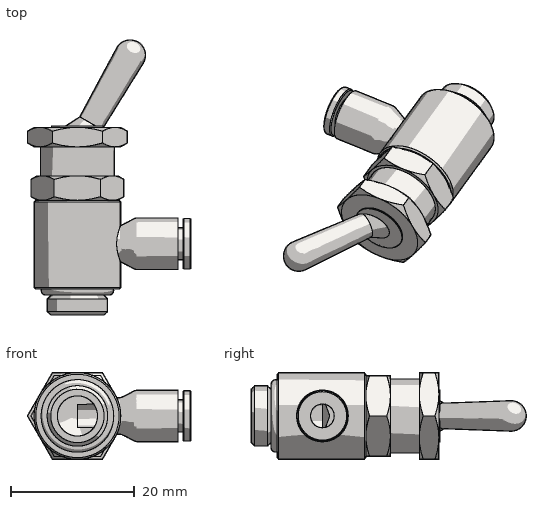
import cadquery as cq
import math


OVERALL_LENGTH = 44.4
OVERALL_WIDTH = 26.4
NUT_FLATS = 14.0

THREAD_RADIUS = 4.9
THREAD_END = 3.2
THREAD_CHAMFER = 0.58
BARREL_BOTTOM = 4.15
BARREL_TOP = 18.5
BARREL_RADIUS = NUT_FLATS / 2
BARREL_CHAMFER = 0.25
HEX_TOP = 22.45
HEX_FLATS = 13.0
SHANK_RADIUS = 6.0
NUT_BOTTOM = 27.1
NUT_TOP = 30.25
HEX_BEVEL_ANGLE = 30
DISC_RADIUS = 4.2
DISC_THICKNESS = 0.2
DISC_TOP = NUT_TOP + DISC_THICKNESS
NECK_RADIUS = THREAD_RADIUS - THREAD_CHAMFER

RING_OUTER_RADIUS = 5.85
RING_SECTION_RADIUS = (RING_OUTER_RADIUS - NECK_RADIUS) / 2
RING_Y = THREAD_END + RING_SECTION_RADIUS
RING_RECESS_TOP = RING_Y + RING_SECTION_RADIUS

OUTLET_Y = 11.5
OUTLET_RADIUS = 4.15
OUTLET_NECK_RADIUS = 2.97
OUTLET_CONE_START = 7.05
OUTLET_CONE_END = 9.35
OUTLET_CONE_START_FILLET = 0.55
OUTLET_CONE_END_FILLET = 0.98
OUTLET_SLEEVE_END = 16.25
COLLET_NECK_RADIUS = 2.6
COLLET_FLANGE_RADIUS = 4.1
COLLET_FLANGE_START = 17.0
COLLET_FLANGE_CHAMFER = 0.18
OUTLET_END = OVERALL_WIDTH - NUT_FLATS / math.sqrt(3)

BORE_RADIUS = 3.25
BORE_TIP_ANGLE = 140
CROSS_HOLE_RADIUS = 1.9

LEVER_TILT = 30
LEVER_PIVOT_Y = 27.15
LEVER_TIP_RADIUS = 2.5
LEVER_ROOT_RADIUS = 2.1
LEVER_ROOT_DISTANCE = 4.35
LEVER_FLARE_ANGLE = 27
LEVER_TIP_RISE = OVERALL_LENGTH - LEVER_TIP_RADIUS - LEVER_PIVOT_Y
LEVER_TIP_DISTANCE = LEVER_TIP_RISE / math.cos(math.radians(LEVER_TILT))


def plane_along_y(y):
    """Work plane across the main axis at height y, facing +Y."""
    return cq.Workplane("XZ", origin=(0, y, 0)).transformed(rotate=(180, 0, 0))


def cylinder_along_y(radius, bottom, top):
    return plane_along_y(bottom).circle(radius).extrude(top - bottom)


def beveled_hexagon(flats, bottom, top):
    """Hexagonal prism with corners on the X axis, both ends beveled down to the inscribed circle."""
    flat_radius = flats / 2
    corner_radius = flats / math.sqrt(3)
    bevel_height = (corner_radius - flat_radius) * math.tan(math.radians(HEX_BEVEL_ANGLE))
    prism = plane_along_y(bottom).polygon(6, 2 * corner_radius).extrude(top - bottom)
    bevel_envelope = (
        cq.Workplane("XY")
        .moveTo(0, bottom)
        .lineTo(flat_radius, bottom)
        .lineTo(corner_radius, bottom + bevel_height)
        .lineTo(corner_radius, top - bevel_height)
        .lineTo(flat_radius, top)
        .lineTo(0, top)
        .close()
        .revolve(360, (0, 0, 0), (0, 1, 0))
    )
    return prism.intersect(bevel_envelope)


def make_stem():
    """Thread, barrel, hexagon, shank, nut and top disc along the main axis."""
    thread = cylinder_along_y(THREAD_RADIUS, 0, THREAD_END).edges().chamfer(THREAD_CHAMFER)
    neck = cylinder_along_y(NECK_RADIUS, THREAD_END, RING_RECESS_TOP)
    barrel = cylinder_along_y(BARREL_RADIUS, BARREL_BOTTOM, BARREL_TOP).edges().chamfer(BARREL_CHAMFER)
    ring_recess = cylinder_along_y(RING_OUTER_RADIUS, BARREL_BOTTOM, RING_RECESS_TOP)
    barrel = barrel.cut(ring_recess)
    hexagon = beveled_hexagon(HEX_FLATS, BARREL_TOP, HEX_TOP)
    shank = cylinder_along_y(SHANK_RADIUS, HEX_TOP, NUT_BOTTOM)
    nut = beveled_hexagon(NUT_FLATS, NUT_BOTTOM, NUT_TOP)
    disc = cylinder_along_y(DISC_RADIUS, NUT_TOP, DISC_TOP)
    return thread.union(neck).union(barrel).union(hexagon).union(shank).union(nut).union(disc)


def make_outlet():
    """Side outlet: neck, cone and sleeve, ending in a flanged collet."""
    sleeve = (
        cq.Workplane("XY", origin=(0, OUTLET_Y, 0))
        .lineTo(0, OUTLET_NECK_RADIUS)
        .lineTo(OUTLET_CONE_START, OUTLET_NECK_RADIUS)
        .lineTo(OUTLET_CONE_END, OUTLET_RADIUS)
        .lineTo(OUTLET_SLEEVE_END, OUTLET_RADIUS)
        .lineTo(OUTLET_SLEEVE_END, 0)
        .close()
        .revolve(360, (0, 0, 0), (1, 0, 0))
    )
    cone_start_edge = cq.selectors.NearestToPointSelector((OUTLET_CONE_START, OUTLET_Y, 0))
    cone_end_edge = cq.selectors.NearestToPointSelector((OUTLET_CONE_END, OUTLET_Y, 0))
    sleeve = sleeve.edges("%CIRCLE").edges(cone_start_edge).fillet(OUTLET_CONE_START_FILLET)
    sleeve = sleeve.edges("%CIRCLE").edges(cone_end_edge).fillet(OUTLET_CONE_END_FILLET)
    collet_neck = (
        cq.Workplane("YZ", origin=(OUTLET_SLEEVE_END, OUTLET_Y, 0))
        .circle(COLLET_NECK_RADIUS)
        .extrude(COLLET_FLANGE_START - OUTLET_SLEEVE_END)
    )
    collet_flange = (
        cq.Workplane("YZ", origin=(COLLET_FLANGE_START, OUTLET_Y, 0))
        .circle(COLLET_FLANGE_RADIUS)
        .extrude(OUTLET_END - COLLET_FLANGE_START)
        .edges()
        .chamfer(COLLET_FLANGE_CHAMFER)
    )
    return sleeve.union(collet_neck).union(collet_flange)


def make_lever():
    """Tilted lever, revolved upright about its pivot and then leaned towards +X."""
    flare_radius = LEVER_ROOT_RADIUS + LEVER_ROOT_DISTANCE * math.tan(math.radians(LEVER_FLARE_ANGLE))
    diagonal = LEVER_TIP_RADIUS * math.sqrt(0.5)
    return (
        cq.Workplane("XY", origin=(0, LEVER_PIVOT_Y, 0))
        .lineTo(flare_radius, 0)
        .lineTo(LEVER_ROOT_RADIUS, LEVER_ROOT_DISTANCE)
        .lineTo(LEVER_TIP_RADIUS, LEVER_TIP_DISTANCE)
        .threePointArc((diagonal, LEVER_TIP_DISTANCE + diagonal), (0, LEVER_TIP_DISTANCE + LEVER_TIP_RADIUS))
        .close()
        .revolve(360, (0, 0, 0), (0, 1, 0))
        .rotate((0, LEVER_PIVOT_Y, 0), (0, LEVER_PIVOT_Y, 1), -LEVER_TILT)
    )


def make_bore():
    """Blind bore from the threaded port with a drill-point end, full width up to the outlet axis."""
    tip_height = BORE_RADIUS / math.tan(math.radians(BORE_TIP_ANGLE / 2))
    return (
        cq.Workplane("XY")
        .lineTo(BORE_RADIUS, 0)
        .lineTo(BORE_RADIUS, OUTLET_Y)
        .lineTo(0, OUTLET_Y + tip_height)
        .close()
        .revolve(360, (0, 0, 0), (0, 1, 0))
    )


def make_cross_hole():
    """Passage from the main axis out through the collet."""
    return cq.Workplane("YZ", origin=(0, OUTLET_Y, 0)).circle(CROSS_HOLE_RADIUS).extrude(OUTLET_END)


def make_valve_body():
    solid_body = make_stem().union(make_outlet()).union(make_lever())
    return solid_body.cut(make_bore()).cut(make_cross_hole())


def make_sealing_ring():
    ring_radius = RING_OUTER_RADIUS - RING_SECTION_RADIUS
    return (
        cq.Workplane("XY")
        .center(ring_radius, RING_Y)
        .circle(RING_SECTION_RADIUS)
        .revolve(360, (-ring_radius, 0, 0), (-ring_radius, 1, 0))
    )


valve_body = make_valve_body()
sealing_ring = make_sealing_ring()
result = cq.Compound.makeCompound([valve_body.val(), sealing_ring.val()])